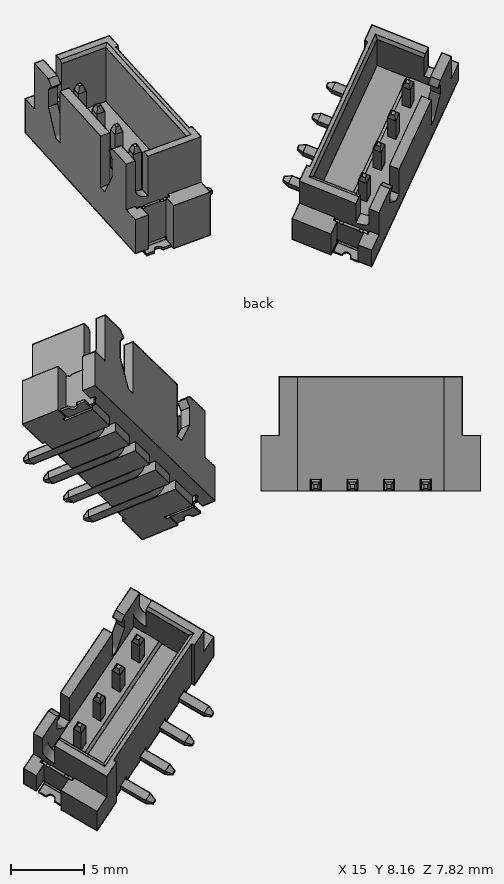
import cadquery as cq
import math


length = 15.0
height = 7.82
depth = 5.91
shroud_half = 6.25
shoulder_height = 3.8
front_lift = 0.8
front_wall = 0.72
rear_wall = 0.72
side_wall = 0.76
front_block_depth = 1.02
rear_block_start = 3.02

cavity_half = shroud_half - side_wall
cavity_back = depth - rear_wall
floor_front = 3.0
floor_rear = 2.85
floor_step_start = 2.76
floor_step_end = 2.98
lead_in_width = 0.22
lead_in_height = 0.21
side_slot_back = 1.71
side_slot_bottom = 4.32
recess_half = 5.0
recess_depth = 0.22

window_inner = 2.78
window_outer = 4.34
window_barb = 3.92
window_toe = 3.33
window_bottom = 3.28
window_slope_top = 5.32
window_barb_bottom = 6.85
barb_height = 7.35
window_radius = 0.2

pin_count = 4
pin_row = 7.5
pin_pitch = pin_row / (pin_count - 1)
pin_size = 0.63
pin_end_y = 8.16
pin_top = 6.82
pin_front = 1.85
pin_bend_inner = 0.32
pin_tip_length = 0.5
pin_tip_size = 0.27
pin_channel_width = 0.74

tab_thickness = 0.2
tab_center_y = 2.0
tab_plate_width = 2.4
tab_plate_top = 3.62
tab_foot_width = 1.92
tab_foot_end = 7.26
tab_bend_inner = 0.12
tab_bend_outer = 0.18
tab_notch_radius = 0.32
tab_notch_rounding = 0.05
tab_dent_offset = 0.74
tab_dent_width = 0.27
tab_dent_depth = 0.09
tab_slot_width = 2.58
tab_slot_clearance = 0.05

tab_outer = shroud_half + tab_thickness
pin_xs = [(i - (pin_count - 1) / 2) * pin_pitch for i in range(pin_count)]


def box(x0, x1, y0, y1, z0, z1):
    """Block between two opposite corners."""
    return cq.Workplane("XY").box(x1 - x0, y1 - y0, z1 - z0, centered=False).translate((x0, y0, z0))


def both_ends(shape):
    """The shape together with its mirror image at the other end of the header."""
    return shape.union(shape.mirror("YZ"))


def housing_block():
    """Tall shroud block with two end blocks at each end."""
    body = box(-shroud_half, shroud_half, 0, depth, 0, height)
    front_end = box(shroud_half, length / 2, 0, front_block_depth, 0, shoulder_height)
    rear_end = box(shroud_half, length / 2, rear_block_start, depth, 0, shoulder_height)
    body = body.union(both_ends(front_end.union(rear_end)))
    undercut = box(-length / 2, length / 2, 0, front_block_depth, 0, front_lift)
    recess = box(-recess_half, recess_half, depth - recess_depth, depth, 0, height)
    return body.cut(undercut).cut(recess)


def cavity():
    """Open-topped cavity whose floor steps down behind the pins."""
    profile = [
        (front_wall, height),
        (front_wall, floor_front),
        (floor_step_start, floor_front),
        (floor_step_end, floor_rear),
        (cavity_back, floor_rear),
        (cavity_back, height),
    ]
    return cq.Workplane("YZ").polyline(profile).close().extrude(cavity_half, both=True)


def lead_in():
    """Bevelled mouth along the side and rear walls of the cavity."""
    mouth_half = cavity_half + lead_in_width
    side_profile = [
        (-cavity_half, height - lead_in_height),
        (cavity_half, height - lead_in_height),
        (mouth_half, height),
        (-mouth_half, height),
    ]
    rear_profile = [
        (front_wall, height - lead_in_height),
        (cavity_back, height - lead_in_height),
        (cavity_back + lead_in_width, height),
        (front_wall, height),
    ]
    along_y = cq.Workplane("XZ").polyline(side_profile).close().extrude(-depth)
    along_x = cq.Workplane("YZ").polyline(rear_profile).close().extrude(mouth_half, both=True)
    return along_y.intersect(along_x)


def side_slots():
    """Slots that part the side walls from the front wall, rounded at the front."""
    radius = side_slot_back - front_wall
    profile = (
        cq.Workplane("YZ")
        .moveTo(front_wall, height)
        .lineTo(front_wall, side_slot_bottom + radius)
        .radiusArc((side_slot_back, side_slot_bottom), -radius)
        .lineTo(side_slot_back, height)
        .close()
    )
    return profile.extrude(shroud_half, both=True)


def latch_windows():
    """Barbed windows open at the top of the front wall."""
    outline = [
        (window_inner, height),
        (window_inner, window_bottom),
        (window_toe, window_bottom),
        (window_outer, window_slope_top),
        (window_outer, window_barb_bottom),
        (window_barb, barb_height),
        (window_outer, height),
    ]
    window = cq.Workplane("XZ").polyline(outline).close().extrude(-front_wall)
    toe = cq.selectors.NearestToPointSelector((window_toe, front_wall / 2, window_bottom))
    return both_ends(window.edges("|Y").edges(toe).fillet(window_radius))


def pin_channels():
    """Channels under the housing that the pin tails run through."""
    channels = cq.Workplane("XY")
    for x in pin_xs:
        half = pin_channel_width / 2
        channels = channels.union(box(x - half, x + half, 0, depth, 0, front_lift))
    return channels


def tab_slots():
    """Vertical slots in the end blocks that hold the solder tab plates."""
    half = tab_slot_width / 2
    slot = box(shroud_half, tab_outer + tab_slot_clearance, tab_center_y - half, tab_center_y + half,
               0, shoulder_height)
    return both_ends(slot)


def pin_tip():
    """Tapered pin end, rising from the origin along z."""
    taper = math.degrees(math.atan((pin_size - pin_tip_size) / 2 / pin_tip_length))
    return cq.Workplane("XY").rect(pin_size, pin_size).extrude(pin_tip_length, taper=taper)


def pin(x):
    """Bent pin: a post standing in the cavity and a tail leaving at the rear."""
    bend_outer = pin_bend_inner + pin_size
    bend_y = pin_front + bend_outer
    tail_end = pin_end_y - pin_tip_length
    post_end = pin_top - pin_tip_length
    stem = (
        cq.Workplane("YZ")
        .moveTo(tail_end, 0)
        .lineTo(bend_y, 0)
        .radiusArc((pin_front, bend_outer), bend_outer)
        .lineTo(pin_front, post_end)
        .lineTo(pin_front + pin_size, post_end)
        .lineTo(pin_front + pin_size, bend_outer)
        .radiusArc((bend_y, pin_size), -pin_bend_inner)
        .lineTo(tail_end, pin_size)
        .close()
        .extrude(pin_size / 2, both=True)
    )
    post_tip = pin_tip().translate((0, pin_front + pin_size / 2, post_end))
    tail_tip = pin_tip().rotate((0, 0, 0), (1, 0, 0), -90).translate((0, tail_end, pin_size / 2))
    return stem.union(post_tip).union(tail_tip).translate((x, 0, 0))


def make_housing():
    """Housing in one piece with its four pins."""
    body = housing_block()
    for opening in (cavity(), lead_in(), side_slots(), latch_windows(), pin_channels(), tab_slots()):
        body = body.cut(opening)
    for x in pin_xs:
        body = body.union(pin(x))
    return body


def make_solder_tab():
    """L-shaped solder tab at the +x end: a plate on the side wall and a notched foot."""
    plate_bottom = tab_thickness + tab_bend_inner
    half = tab_plate_width / 2
    plate = box(shroud_half, tab_outer, tab_center_y - half, tab_center_y + half,
                plate_bottom, tab_plate_top)

    foot_profile = [
        (shroud_half, plate_bottom),
        (shroud_half, tab_bend_outer),
        (shroud_half + tab_bend_outer, 0),
        (tab_foot_end, 0),
        (tab_foot_end, tab_thickness),
        (tab_outer + tab_bend_inner, tab_thickness),
        (tab_outer, plate_bottom),
    ]
    foot = (
        cq.Workplane("XZ", origin=(0, tab_center_y, 0))
        .polyline(foot_profile)
        .close()
        .extrude(tab_foot_width / 2, both=True)
    )
    notch = cq.Workplane("XY").circle(tab_notch_radius).extrude(tab_thickness)
    foot = foot.cut(notch.translate((tab_foot_end, tab_center_y, 0)))
    reach = tab_notch_radius + tab_notch_rounding
    mouth = cq.selectors.BoxSelector(
        (tab_foot_end - tab_notch_rounding, tab_center_y - reach, 0),
        (tab_foot_end + tab_notch_rounding, tab_center_y + reach, tab_thickness),
    )
    foot = foot.edges("|Z").edges(mouth).fillet(tab_notch_rounding)

    tab = plate.union(foot)
    for side in (-1, 1):
        y = tab_center_y + side * tab_dent_offset
        dent = (
            cq.Workplane("YZ", origin=(shroud_half, 0, 0))
            .moveTo(y - tab_dent_width / 2, tab_plate_top)
            .threePointArc((y, tab_plate_top - tab_dent_depth), (y + tab_dent_width / 2, tab_plate_top))
            .close()
            .extrude(tab_thickness)
        )
        tab = tab.cut(dent)
    return tab


housing = make_housing()
right_tab = make_solder_tab()
left_tab = right_tab.mirror("YZ")

result = cq.Compound.makeCompound([body.solids().val() for body in (housing, right_tab, left_tab)])